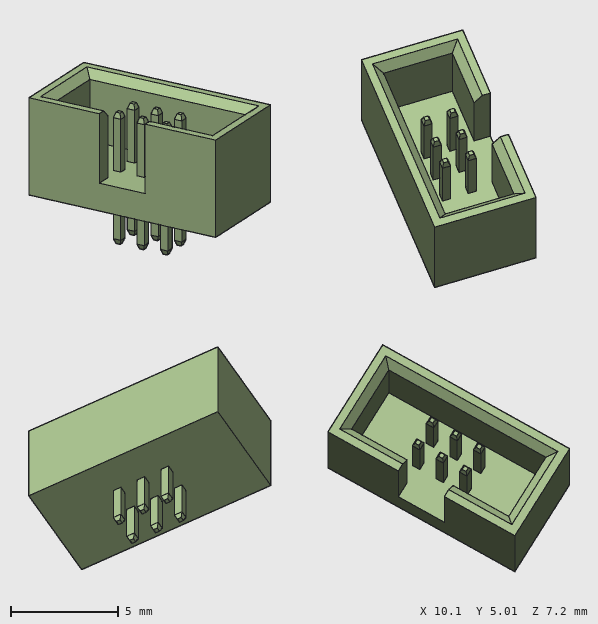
import cadquery as cq


length = 10.11
width = 5.01
height = 4.9
floor_thickness = 1.41
rim_thickness = 0.4
lead_in = 0.4
wall_thickness = rim_thickness + lead_in
notch_width = 2.49

columns = 3
rows = 2
pitch = 1.27
pin_side = 0.4
tip_side = 0.21
tip_length = 0.26
pin_bottom = -2.3
pin_top = height - 0.58


def make_housing():
    """Box with a square-cornered cavity, a sloped lip and a keying notch."""
    block = cq.Workplane("XY").box(length, width, height, centered=(True, True, False))
    cavity = (
        cq.Workplane("XY", origin=(0, 0, floor_thickness))
        .rect(length - 2 * wall_thickness, width - 2 * wall_thickness)
        .extrude(height - floor_thickness)
    )
    lip = (
        cq.Workplane("XY", origin=(0, 0, height - lead_in))
        .rect(length - 2 * wall_thickness, width - 2 * wall_thickness)
        .workplane(offset=lead_in)
        .rect(length - 2 * rim_thickness, width - 2 * rim_thickness)
        .loft(ruled=True)
    )
    notch = cq.Workplane("XY", origin=(0, -width / 2, floor_thickness)).box(
        notch_width, 2 * wall_thickness, height - floor_thickness, centered=(True, True, False)
    )
    return block.cut(cavity).cut(lip).cut(notch)


def make_tip(base_z, end_z):
    """Four-sided taper from the full pin section at base_z to the small end at end_z."""
    return (
        cq.Workplane("XY", origin=(0, 0, base_z))
        .rect(pin_side, pin_side)
        .workplane(offset=end_z - base_z)
        .rect(tip_side, tip_side)
        .loft(ruled=True)
    )


def make_pin():
    """Square pin on the Z axis, tapered at both ends."""
    shank_bottom = pin_bottom + tip_length
    shank_top = pin_top - tip_length
    shank = (
        cq.Workplane("XY", origin=(0, 0, shank_bottom))
        .rect(pin_side, pin_side)
        .extrude(shank_top - shank_bottom)
    )
    return shank.union(make_tip(shank_top, pin_top)).union(make_tip(shank_bottom, pin_bottom))


result = make_housing()
pin = make_pin()
for column in range(columns):
    for row in range(rows):
        x = (column - (columns - 1) / 2) * pitch
        y = (row - (rows - 1) / 2) * pitch
        result = result.union(pin.translate((x, y, 0)))